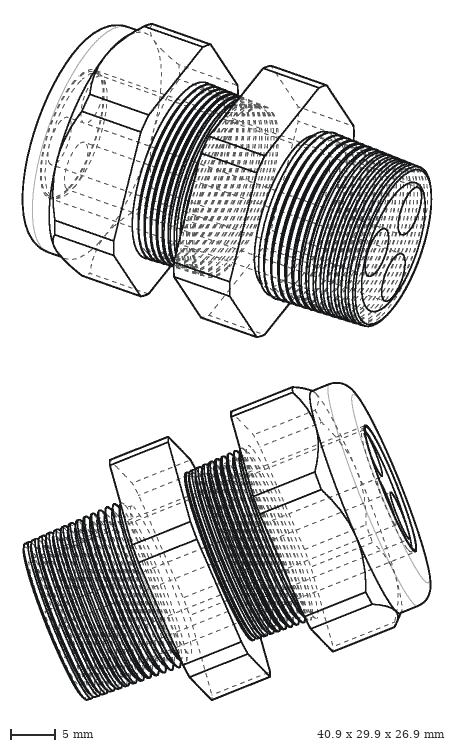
import cadquery as cq
import math


total_length = 40.9
across_flats = 26.9
across_corners = 29.9
hexagon_sides = 6
flat_radius = across_flats / 2
corner_radius = across_corners / 2

dome_fillet = 2.05
dome_length = 4.2
cap_end = 13.2
corner_chamfer = corner_radius - flat_radius

body_hex_start = 20.85
body_hex_end = 27.95

flank_half_angle = 30.0
cap_groove_count = 10
cap_root_radius = 9.8
cap_crest_start = 10.45
cap_crest_end = 10.15
entry_groove_count = 14
entry_start = 28.8
entry_root_radius = 9.15
entry_crest_start = 9.95
entry_crest_end = 9.45
neck_radius = 9.0
neck_length = 0.5
neck_fillet = 0.8

insert_radius = 7.65
rim_width = 0.2
recess_depth = 0.5
wire_hole_radius = 2.82
wire_hole_count = 3
wire_circle_radius = 4.6
first_hole_angle = -90.0


def cylinder(start, end, radius):
    """Cylinder around the X axis between two X positions."""
    return cq.Workplane("YZ", origin=(start, 0, 0)).circle(radius).extrude(end - start)


def revolved(points):
    """Solid of revolution around X from (x, radius) outline points."""
    return cq.Workplane("XY").polyline(points).close().revolve(360, (0, 0, 0), (1, 0, 0))


def hexagon(start, end):
    """Hexagonal prism with flats on +Z and -Z and its corners turned round."""
    sharp_diameter = across_flats / math.cos(math.pi / hexagon_sides)
    outline = cq.Workplane("YZ", origin=(start, 0, 0)).polygon(hexagon_sides, sharp_diameter)
    prism = outline.extrude(end - start)
    return prism.intersect(cylinder(start, end, corner_radius))


def dome_cap():
    """Rounded front collar and a hexagon whose front corners are chamfered by a 45 degree cone."""
    collar = cylinder(0, dome_length, flat_radius).faces("<X").edges().fillet(dome_fillet)
    corner_cone = revolved([
        (dome_length, 0),
        (dome_length, flat_radius),
        (dome_length + corner_chamfer, corner_radius),
        (cap_end, corner_radius),
        (cap_end, 0),
    ])
    return collar.union(hexagon(dome_length, cap_end).intersect(corner_cone))


def thread_outline(start, pitch, groove_count, root_radius, crest_start, crest_end):
    """Outline of V grooves, from the crest at start to the crest after the last groove."""
    crest_drop = (crest_start - crest_end) / groove_count
    points = [(start, crest_start)]
    for groove in range(groove_count):
        middle = start + (groove + 0.5) * pitch
        crest_radius = crest_start - (groove + 0.5) * crest_drop
        half_width = (crest_radius - root_radius) * math.tan(math.radians(flank_half_angle))
        points += [
            (middle - half_width, crest_radius),
            (middle, root_radius),
            (middle + half_width, crest_radius),
        ]
    points.append((start + groove_count * pitch, crest_end))
    return points


def cap_thread():
    """Thread between the two hexagons."""
    pitch = (body_hex_start - cap_end) / cap_groove_count
    outline = thread_outline(
        cap_end, pitch, cap_groove_count, cap_root_radius, cap_crest_start, cap_crest_end
    )
    return revolved([(cap_end, 0), *outline, (body_hex_start, 0)])


def entry_thread():
    """Rear thread behind a neck filleted into the first flank, ending mid-groove."""
    pitch = (total_length - entry_start) / (entry_groove_count - 0.5)
    outline = thread_outline(
        entry_start, pitch, entry_groove_count, entry_root_radius, entry_crest_start, entry_crest_end
    )
    flank_lean = math.tan(math.radians(flank_half_angle))
    corner_x = body_hex_end + neck_length
    first_root_x = entry_start + pitch / 2
    first_crest_x = (corner_x + first_root_x + (entry_root_radius - neck_radius) * flank_lean) / 2
    first_crest = (first_crest_x, neck_radius + (first_crest_x - corner_x) / flank_lean)
    outline = [first_crest, *outline[2:-2]]
    tangent_length = neck_fillet * math.tan(math.radians((90 - flank_half_angle) / 2))
    fillet_end = (
        corner_x + tangent_length * math.sin(math.radians(flank_half_angle)),
        neck_radius + tangent_length * math.cos(math.radians(flank_half_angle)),
    )
    return (
        cq.Workplane("XY")
        .moveTo(body_hex_end, 0)
        .lineTo(body_hex_end, neck_radius)
        .lineTo(corner_x - tangent_length, neck_radius)
        .tangentArcPoint(fillet_end, relative=False)
        .polyline(outline, includeCurrent=True)
        .lineTo(total_length, 0)
        .close()
        .revolve(360, (0, 0, 0), (1, 0, 0))
    )


def make_gland():
    """Cap, threads and body hexagon in one piece, bored through for the insert."""
    gland = dome_cap().union(cap_thread())
    gland = gland.union(hexagon(body_hex_start, body_hex_end))
    gland = gland.union(entry_thread())
    return gland.cut(cylinder(0, total_length, insert_radius))


def make_seal_insert():
    """Plug filling the bore, with a shallow recess in front and wire holes right through."""
    insert = cylinder(0, total_length, insert_radius)
    insert = insert.cut(cylinder(0, recess_depth, insert_radius - rim_width))
    wire_holes = (
        cq.Workplane("YZ")
        .polarArray(wire_circle_radius, first_hole_angle, 360, wire_hole_count)
        .circle(wire_hole_radius)
        .extrude(total_length)
    )
    return insert.cut(wire_holes)


gland = make_gland()
seal_insert = make_seal_insert()
result = cq.Compound.makeCompound([gland.val(), seal_insert.val()])